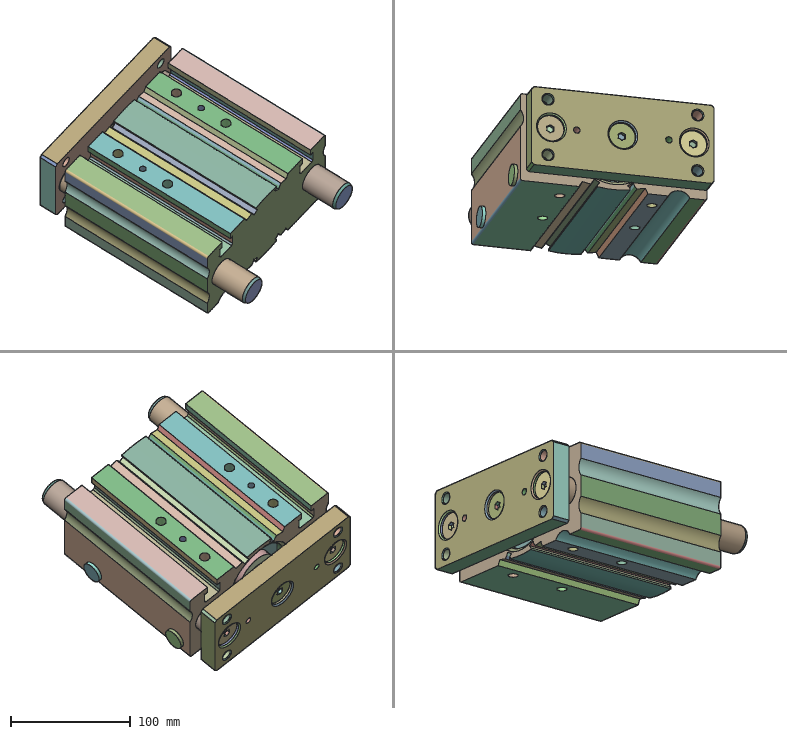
import cadquery as cq
import math

TOTAL_LENGTH = 211.5

PLATE_THICKNESS = 16.5
PLATE_WIDTH = 158.2
PLATE_HEIGHT = 70.2
PLATE_CORNER_CHAMFER = 2.1
PLATE_SCREW_Y = 65.0
PLATE_SCREW_Z = 25.0
PLATE_SCREW_RADIUS = 4.5
PLATE_SCREW_CHAMFER = 0.8
ROD_HOLE_CHAMFER = 1.3

HOUSING_FRONT = 27.7
HOUSING_BACK = 177.2
HOUSING_WIDTH = 162.0
HOUSING_HEIGHT = 78.0
HOUSING_CORNER_RADIUS = 2.0

T_SLOT_Y = 55.0
T_SLOT_NECK_WIDTH = 11.2
T_SLOT_NECK_DEPTH = 7.0
T_SLOT_HEAD_WIDTH = 17.8
T_SLOT_DEPTH = 18.5
T_SLOT_BOTTOM_CHAMFER = 1.5

SIDE_GROOVE_Z = 17.0
SIDE_GROOVE_WIDTH = 14.8
SIDE_GROOVE_DEPTH = 2.7
BOTTOM_GROOVE_Y = 56.7
BOTTOM_GROOVE_WIDTH = 18.6
BOTTOM_GROOVE_DEPTH = 5.7

CHANNEL_RIM_Y = 29.6
CHANNEL_FOOT_Y = 27.3
CHANNEL_FOOT_Z = 34.3
RIDGE_Y = 20.0
RIDGE_Z = 35.7
GROOVE_LIP_Y = 18.2
GROOVE_LIP_Z = 33.6
GROOVE_FLOOR_Y = 17.0
GROOVE_FLOOR_Z = 30.9
GROOVE_INNER_Y = 12.3
GROOVE_INNER_Z = 33.5
CROWN_EDGE_Y = 14.2
CROWN_EDGE_LOW_Z = 36.0
CROWN_EDGE_HIGH_Z = 37.5
CROWN_TOP_Z = 38.5

HOLE_ROW_Y = 40.0
MOUNT_HOLE_MIDDLE_X = 78.0
MOUNT_HOLE_SPACING = 52.0
MOUNT_HOLE_RADIUS = 4.2
LOCATING_HOLE_RADIUS = 2.7
LOCATING_HOLE_DEPTH = 10.0

PLUG_X_POSITIONS = (44.6, 142.1)
PLUG_Z = -28.0
PLUG_RADIUS = 9.0
PLUG_HEIGHT = 3.0

ROD_HEAD_FRONT = 3.2
GUIDE_ROD_Y = 62.0
GUIDE_ROD_RADIUS = 12.5
PISTON_ROD_RADIUS = 10.0
ROD_HEAD_RADIUS = 11.6
ROD_END_CHAMFER_LENGTH = 2.5
ROD_END_CHAMFER_HEIGHT = 1.0
HEX_ACROSS_FLATS = 6.1
HEX_DEPTH = 3.2

GLAND_RADIUS = 33.8
GLAND_SETBACK = 2.7
GLAND_LENGTH = 23.3
GLAND_RECESS_RADIUS = 30.7
GLAND_RECESS_DEPTH = 7.2
GLAND_BOSS_RADIUS = 19.0

HOUSING_LENGTH = HOUSING_BACK - HOUSING_FRONT
HALF_WIDTH = HOUSING_WIDTH / 2
HALF_HEIGHT = HOUSING_HEIGHT / 2
GLAND_FRONT = HOUSING_FRONT + GLAND_SETBACK
GLAND_BACK = GLAND_FRONT + GLAND_LENGTH


def section(x):
    """Sketch plane across the rods at x: local axes are Y and Z, extrusion goes toward +X."""
    return cq.Workplane("YZ", origin=(x, 0, 0))


def cylinder_x(radius, start, end, y=0.0):
    """Cylinder along X from start to end, at height zero."""
    return section(start).center(y, 0).circle(radius).extrude(end - start)


def arc_groove_radius(width, depth):
    """Radius of the circle that cuts a groove of this width and depth into a flat face."""
    return ((width / 2) ** 2 + depth**2) / (2 * depth)


def t_slot(y):
    """T-slot running the length of the housing, open at the top."""
    neck = T_SLOT_NECK_WIDTH / 2
    head = T_SLOT_HEAD_WIDTH / 2
    head_top = HALF_HEIGHT - T_SLOT_NECK_DEPTH
    floor = HALF_HEIGHT - T_SLOT_DEPTH
    outline = [
        (-neck, HALF_HEIGHT),
        (-neck, head_top),
        (-head, head_top),
        (-head, floor + T_SLOT_BOTTOM_CHAMFER),
        (-head + T_SLOT_BOTTOM_CHAMFER, floor),
        (head - T_SLOT_BOTTOM_CHAMFER, floor),
        (head, floor + T_SLOT_BOTTOM_CHAMFER),
        (head, head_top),
        (neck, head_top),
        (neck, HALF_HEIGHT),
    ]
    return section(HOUSING_FRONT).center(y, 0).polyline(outline).close().extrude(HOUSING_LENGTH)


def side_groove(side, z):
    """Round groove along the +Y (side = 1) or -Y (side = -1) face."""
    radius = arc_groove_radius(SIDE_GROOVE_WIDTH, SIDE_GROOVE_DEPTH)
    centre_y = side * (HALF_WIDTH - SIDE_GROOVE_DEPTH + radius)
    return section(HOUSING_FRONT).center(centre_y, z).circle(radius).extrude(HOUSING_LENGTH)


def bottom_groove():
    """Round groove along the bottom face, on the -Y side only."""
    radius = arc_groove_radius(BOTTOM_GROOVE_WIDTH, BOTTOM_GROOVE_DEPTH)
    centre_z = -HALF_HEIGHT + BOTTOM_GROOVE_DEPTH - radius
    return section(HOUSING_FRONT).center(-BOTTOM_GROOVE_Y, centre_z).circle(radius).extrude(HOUSING_LENGTH)


def middle_channel():
    """Material removed along the middle of the top, leaving the crown and the ridges beside it."""
    right_side = [
        (CHANNEL_RIM_Y, HALF_HEIGHT),
        (CHANNEL_FOOT_Y, CHANNEL_FOOT_Z),
        (RIDGE_Y, RIDGE_Z),
        (GROOVE_LIP_Y, GROOVE_LIP_Z),
        (GROOVE_FLOOR_Y, GROOVE_FLOOR_Z),
        (GROOVE_INNER_Y, GROOVE_INNER_Z),
        (CROWN_EDGE_Y, CROWN_EDGE_LOW_Z),
        (CROWN_EDGE_Y, CROWN_EDGE_HIGH_Z),
    ]
    left_side = [(-y, z) for y, z in reversed(right_side)]
    return (
        section(HOUSING_FRONT)
        .polyline(right_side)
        .threePointArc((0, CROWN_TOP_Z), left_side[0])
        .polyline(left_side, includeCurrent=False)
        .close()
        .extrude(HOUSING_LENGTH)
    )


def land_holes():
    """Through mounting holes and blind locating holes in the lands beside the channel."""
    top = cq.Workplane("XY", origin=(MOUNT_HOLE_MIDDLE_X, 0, HALF_HEIGHT))
    mounts = top.rect(MOUNT_HOLE_SPACING, 2 * HOLE_ROW_Y, forConstruction=True).vertices()
    locators = top.pushPoints([(0, HOLE_ROW_Y), (0, -HOLE_ROW_Y)])
    mount_holes = mounts.circle(MOUNT_HOLE_RADIUS).extrude(-HOUSING_HEIGHT)
    return mount_holes.union(locators.circle(LOCATING_HOLE_RADIUS).extrude(-LOCATING_HOLE_DEPTH))


def port_plugs():
    """Round plugs standing out of the +Y face."""
    side_face = cq.Workplane("XZ", origin=(0, HALF_WIDTH, 0))
    centres = [(x, PLUG_Z) for x in PLUG_X_POSITIONS]
    return side_face.pushPoints(centres).circle(PLUG_RADIUS).extrude(-PLUG_HEIGHT)


def make_housing():
    body = (
        section(HOUSING_FRONT)
        .rect(HOUSING_WIDTH, HOUSING_HEIGHT)
        .extrude(HOUSING_LENGTH)
        .edges("|X")
        .fillet(HOUSING_CORNER_RADIUS)
    )
    channel = middle_channel()
    body = body.cut(channel).cut(channel.mirror("XY"))
    for y in (T_SLOT_Y, -T_SLOT_Y):
        body = body.cut(t_slot(y))
    for side, z in ((1, SIDE_GROOVE_Z), (-1, SIDE_GROOVE_Z), (-1, -SIDE_GROOVE_Z)):
        body = body.cut(side_groove(side, z))
    body = body.cut(bottom_groove()).cut(land_holes())
    for y in (GUIDE_ROD_Y, -GUIDE_ROD_Y):
        body = body.cut(cylinder_x(GUIDE_ROD_RADIUS, HOUSING_FRONT, HOUSING_BACK, y))
    body = body.cut(cylinder_x(GLAND_RADIUS, HOUSING_FRONT, GLAND_BACK))
    return body.union(port_plugs())


def make_gland():
    """Disc set back into the housing, with a ring-shaped recess that leaves a boss around the rod."""
    disc = cylinder_x(GLAND_RADIUS, GLAND_FRONT, GLAND_BACK)
    recess = (
        section(GLAND_FRONT)
        .circle(GLAND_RECESS_RADIUS)
        .circle(GLAND_BOSS_RADIUS)
        .extrude(GLAND_RECESS_DEPTH)
    )
    return disc.cut(recess).cut(cylinder_x(PISTON_ROD_RADIUS, GLAND_FRONT, GLAND_BACK))


def chamfered_hole(y, z, radius, chamfer):
    """Cutter for a hole through the plate with a 45 degree chamfer at its outer face."""
    hole = section(0).center(y, z)
    mouth = hole.circle(radius + chamfer).workplane(offset=chamfer).circle(radius).loft()
    return hole.circle(radius).extrude(PLATE_THICKNESS).union(mouth)


def make_plate():
    plate = (
        section(0)
        .rect(PLATE_WIDTH, PLATE_HEIGHT)
        .extrude(PLATE_THICKNESS)
        .edges("|X")
        .chamfer(PLATE_CORNER_CHAMFER)
    )
    for y in (PLATE_SCREW_Y, -PLATE_SCREW_Y):
        for z in (PLATE_SCREW_Z, -PLATE_SCREW_Z):
            plate = plate.cut(chamfered_hole(y, z, PLATE_SCREW_RADIUS, PLATE_SCREW_CHAMFER))
    for y in (HOLE_ROW_Y, -HOLE_ROW_Y):
        plate = plate.cut(cylinder_x(LOCATING_HOLE_RADIUS, 0, PLATE_THICKNESS, y))
    for y in (GUIDE_ROD_Y, 0, -GUIDE_ROD_Y):
        plate = plate.cut(chamfered_hole(y, 0, ROD_HEAD_RADIUS, ROD_HOLE_CHAMFER))
    return plate


def hex_socket(y):
    """Hexagon socket in the plate end of a rod, with corners pointing up and down."""
    across_corners = HEX_ACROSS_FLATS / math.cos(math.pi / 6)
    return (
        section(ROD_HEAD_FRONT)
        .center(y, 0)
        .transformed(rotate=(0, 0, 90))
        .polygon(6, across_corners)
        .extrude(HEX_DEPTH)
    )


def rod_head(y):
    """End of a rod that sits below the outer face of the plate, with its hexagon socket."""
    return cylinder_x(ROD_HEAD_RADIUS, ROD_HEAD_FRONT, PLATE_THICKNESS, y).cut(hex_socket(y))


def make_guide_rod(y):
    shaft = cylinder_x(GUIDE_ROD_RADIUS, PLATE_THICKNESS, TOTAL_LENGTH, y)
    shaft = shaft.faces(">X").chamfer(ROD_END_CHAMFER_LENGTH, ROD_END_CHAMFER_HEIGHT)
    return shaft.union(rod_head(y))


def make_piston_rod():
    shaft = cylinder_x(PISTON_ROD_RADIUS, PLATE_THICKNESS, GLAND_BACK)
    return shaft.union(rod_head(0))


housing = make_housing()
gland = make_gland()
plate = make_plate()
piston_rod = make_piston_rod()
guide_rods = [make_guide_rod(y) for y in (GUIDE_ROD_Y, -GUIDE_ROD_Y)]

result = cq.Compound.makeCompound(
    [
        housing.val(),
        gland.val(),
        plate.val(),
        piston_rod.val(),
        *[rod.val() for rod in guide_rods],
    ]
)